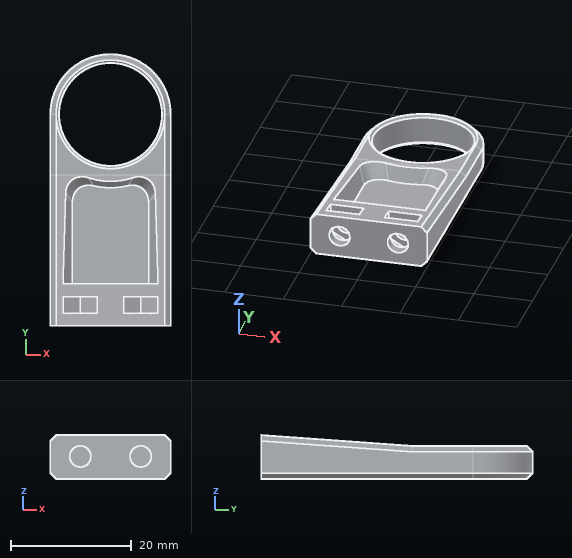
import cadquery as cq
import math

length = 45.0
width = 20.0
ring_height = 5.5
end_height = 7.3
edge_chamfer = 1.0
outer_radius = width / 2
end_y = outer_radius - length
ramp_y = -outer_radius

bore_diameter = 17.0
mouth_chamfer = 0.5

pocket_floor = 3.0
pocket_floor_width = 12.6
pocket_front_y = -28.0
pocket_back_radius = 12.15
pocket_corner_radius = 3.0
pocket_draft = 22.5

screw_diameter = 3.5
screw_spacing = width / 2
screw_z = 3.75
screw_depth = 6.0
nut_flats = 5.65
nut_slot_front_y = -32.95
nut_slot_length = 2.75


def make_round_end():
    """Round end, chamfered at top and bottom."""
    disc = cq.Workplane("XY").circle(outer_radius).extrude(ring_height)
    return disc.faces("<Z or >Z").chamfer(edge_chamfer)


def bar_section(y, top):
    """Chamfered rectangular cross-section at a position along the bar."""
    half = width / 2
    inner = half - edge_chamfer
    points = [
        (-inner, 0), (inner, 0), (half, edge_chamfer), (half, top - edge_chamfer),
        (inner, top), (-inner, top), (-half, top - edge_chamfer), (-half, edge_chamfer),
    ]
    return cq.Workplane("XZ", origin=(0, y, 0)).polyline(points).close()


def make_body():
    straight = bar_section(0, ring_height).extrude(-ramp_y)
    end_outline = bar_section(end_y, end_height).val()
    start_outline = bar_section(ramp_y, ring_height).val()
    ramp = cq.Workplane(cq.Solid.makeLoft([start_outline, end_outline], True))
    return make_round_end().union(straight).union(ramp)


def make_bore():
    """Round bore, widened by a chamfer at both mouths."""
    bore_radius = bore_diameter / 2
    mouth_radius = bore_radius + mouth_chamfer
    points = [
        (0, 0),
        (mouth_radius, 0),
        (bore_radius, mouth_chamfer),
        (bore_radius, ring_height - mouth_chamfer),
        (mouth_radius, ring_height),
        (0, ring_height),
    ]
    return cq.Workplane("XZ").polyline(points).close().revolve(360, (0, 0), (0, 1))


def make_pocket():
    """Pocket flaring upwards at the sides and back, with an upright front wall."""
    height = end_height - pocket_floor
    flare = height * math.tan(math.radians(pocket_draft))
    floor_half = pocket_floor_width / 2
    trough = (
        cq.Workplane("XZ", origin=(0, pocket_front_y, pocket_floor))
        .polyline([
            (-floor_half, 0),
            (floor_half, 0),
            (floor_half + flare, height),
            (-floor_half - flare, height),
        ])
        .close()
        .extrude(pocket_front_y)
    )
    back_cone = cq.Workplane(
        cq.Solid.makeCone(
            pocket_back_radius, pocket_back_radius - flare, height, pnt=cq.Vector(0, 0, pocket_floor)
        )
    )
    margin = 0.45
    corner_edges = cq.selectors.BoxSelector(
        (-width, pocket_front_y + margin, pocket_floor + margin),
        (width, 0, end_height - margin),
    )
    return trough.cut(back_cone).edges(corner_edges).fillet(pocket_corner_radius)


def make_screw_cut(x):
    """Blind screw hole crossing a nut slot whose floor fits the point of a hexagon nut."""
    hole = cq.Workplane("XZ", origin=(x, end_y, screw_z)).circle(screw_diameter / 2).extrude(-screw_depth)
    half = nut_flats / 2
    flank_drop = half / math.sqrt(3)
    slot = (
        cq.Workplane("XZ", origin=(x, nut_slot_front_y, screw_z))
        .moveTo(0, -2 * flank_drop)
        .lineTo(half, -flank_drop)
        .lineTo(half, end_height)
        .lineTo(-half, end_height)
        .lineTo(-half, -flank_drop)
        .close()
        .extrude(-nut_slot_length)
    )
    return hole.union(slot)


result = make_body().cut(make_bore()).cut(make_pocket())
for side in (-1, 1):
    result = result.cut(make_screw_cut(side * screw_spacing / 2))